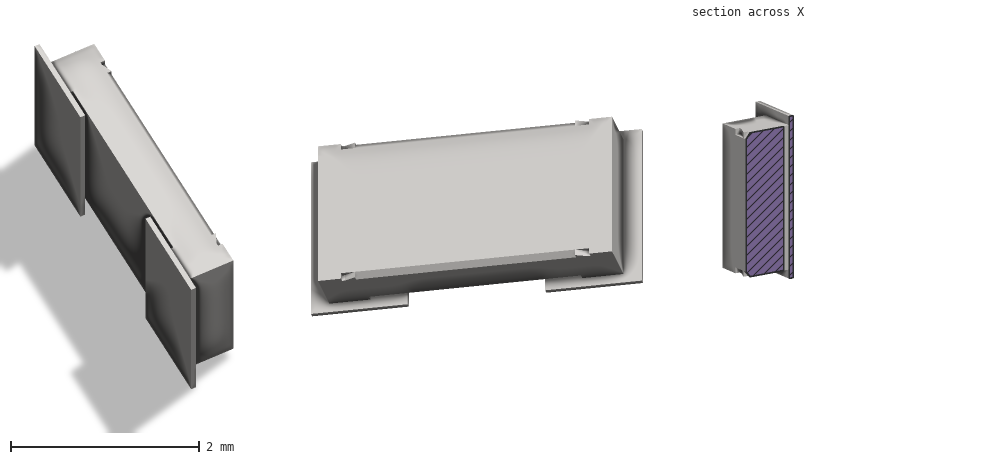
import cadquery as cq

land_span = 3.6
total_depth = 0.61
land_height = 1.8
land_length = 1.05
land_thickness = 0.058

chip_length = 3.2
chip_width = 1.6
cap_end_wall = 0.055
cap_side_wall = 0.065
cap_front_reach = 0.445
cap_back_reach = 0.25

film_thickness = 0.01
wedge_start = 0.28
wedge_end = 0.405
coating_bevel = 0.065
coating_margin = 0.065

y_front = -total_depth / 2
y_back = total_depth / 2
y_cap_front = y_front + land_thickness
y_body_front = y_cap_front + cap_side_wall
y_body_back = y_back - cap_side_wall
y_film_back = y_body_back + film_thickness
x_chip_end = chip_length / 2
x_body_end = x_chip_end - cap_end_wall
x_cap_inner = x_chip_end - cap_back_reach
x_wedge_inner = x_chip_end - wedge_end


def block(x_min, x_max, y_min, y_max, height):
    """Box between the given X and Y limits, centred on Z = 0."""
    box = cq.Workplane("XY").box(x_max - x_min, y_max - y_min, height)
    return box.translate(((x_min + x_max) / 2, (y_min + y_max) / 2, 0))


def make_body():
    return block(-x_body_end, x_body_end, y_body_front, y_body_back, chip_width)


def make_film():
    """Thin layer covering the back of the body between the two end caps."""
    return block(-x_cap_inner, x_cap_inner, y_body_back, y_film_back, chip_width)


def make_end():
    """Everything at the +X end: solder land, end cap, wedge and coating end."""
    x_land_outer = land_span / 2
    land = block(x_land_outer - land_length, x_land_outer, y_front, y_cap_front, land_height)
    front_leg = block(x_chip_end - cap_front_reach, x_chip_end, y_cap_front, y_body_front, chip_width)
    end_wall = block(x_body_end, x_chip_end, y_cap_front, y_back, chip_width)
    back_leg = block(x_cap_inner, x_chip_end, y_body_back, y_back, chip_width)

    wedge = (
        cq.Workplane("XY")
        .polyline([
            (x_chip_end - wedge_start, y_film_back),
            (x_wedge_inner, y_back),
            (x_wedge_inner, y_film_back),
        ])
        .close()
        .extrude(chip_width / 2, both=True)
    )

    coating_end = block(
        x_wedge_inner, x_cap_inner, y_film_back, y_back, chip_width - 2 * coating_margin
    )
    return land.union(front_leg).union(end_wall).union(back_leg).union(wedge).union(coating_end)


def make_coating():
    """Coating over the middle of the film, with sloping long edges."""
    half_width = chip_width / 2
    bevel_top = half_width - coating_bevel
    profile = [
        (y_film_back, -half_width),
        (y_back, -bevel_top),
        (y_back, bevel_top),
        (y_film_back, half_width),
    ]
    return cq.Workplane("YZ").polyline(profile).close().extrude(x_wedge_inner, both=True)


right_end = make_end()
left_end = right_end.mirror("YZ")
back_layers = make_film().union(make_coating())
result = make_body().union(right_end).union(left_end).union(back_layers)